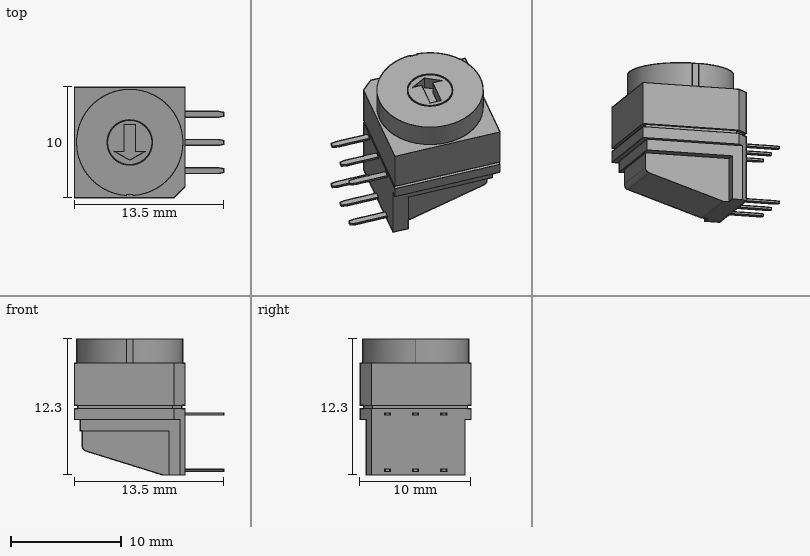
import cadquery as cq
import math

lower_block_bottom = 4.0
plate_bottom = 5.0
plate_top = 6.0
body_bottom = 6.3
body_top = 10.1
cap_top = 12.3

body_size = 10.0
half_body = body_size / 2
bevel = 1.0
neck_inset = 0.3
base_inset = 0.53
half_neck = half_body - neck_inset
half_base = half_body - base_inset

body_bevel_sum = body_size - bevel
neck_bevel_sum = body_bevel_sum - neck_inset * math.sqrt(2)

foot_start_x = 3.55
wedge_start_x = -4.3
wedge_half_width = 3.375
wedge_toe_x = 3.0
wedge_angle = math.radians(17.3)
wedge_corner_radius = 0.5

cap_radius = 4.8
notch_width = 0.6
notch_depth = 0.1
ring_inner_diameter = 4.0
ring_outer_diameter = 4.1
ring_depth = 0.1
arrow_depth = 1.2
arrow_half_length = 1.6
arrow_shoulder_y = -0.8
arrow_half_head = 1.4
arrow_half_shaft = 0.525

pitch = 2.54
pin_columns = (-pitch, 0, pitch)
lower_pin_z = 0.44
row_spacing = 2 * pitch
pin_rows = (lower_pin_z, lower_pin_z + row_spacing)
pin_end_x = 8.5
pin_width = 0.55
pin_thickness = 0.2
pin_tip_width = 0.36
pin_tip_length = 0.5
pin_embed = 0.5


def bevelled_block(x_min, x_max, half_width, bottom, top, bevel_sum=body_bevel_sum):
    """Rectangular block cut by the plane x - y = bevel_sum at the +X, -Y corner."""
    outline = [
        (x_min, -half_width),
        (bevel_sum - half_width, -half_width),
        (x_max, x_max - bevel_sum),
        (x_max, half_width),
        (x_min, half_width),
    ]
    return cq.Workplane("XY").workplane(offset=bottom).polyline(outline).close().extrude(top - bottom)


def wedge():
    """Block under the base with a sloped underside and a rounded lower edge."""
    slope_start_z = (wedge_toe_x - wedge_start_x) * math.tan(wedge_angle)
    profile = [
        (wedge_start_x, lower_block_bottom),
        (wedge_start_x, slope_start_z),
        (wedge_toe_x, 0),
        (foot_start_x, 0),
        (foot_start_x, lower_block_bottom),
    ]
    block = cq.Workplane("XZ").polyline(profile).close().extrude(wedge_half_width, both=True)
    corner = cq.selectors.NearestToPointSelector((wedge_start_x, 0, slope_start_z))
    return block.edges("|Y").edges(corner).fillet(wedge_corner_radius)


def cap():
    """Round cap with an index notch in its rim, a ring groove and an arrow slot."""
    disc = cq.Workplane("XY").workplane(offset=body_top).circle(cap_radius).extrude(cap_top - body_top)
    notch = (
        cq.Workplane("XY")
        .workplane(offset=body_top)
        .center(0, -cap_radius)
        .rect(notch_width, 2 * notch_depth)
        .extrude(cap_top - body_top)
    )
    top_plane = cq.Workplane("XY").workplane(offset=cap_top)
    ring = top_plane.circle(ring_outer_diameter / 2).circle(ring_inner_diameter / 2).extrude(-ring_depth)
    arrow_outline = [
        (0, -arrow_half_length),
        (arrow_half_head, arrow_shoulder_y),
        (arrow_half_shaft, arrow_shoulder_y),
        (arrow_half_shaft, arrow_half_length),
        (-arrow_half_shaft, arrow_half_length),
        (-arrow_half_shaft, arrow_shoulder_y),
        (-arrow_half_head, arrow_shoulder_y),
    ]
    arrow = top_plane.polyline(arrow_outline).close().extrude(-arrow_depth)
    return disc.cut(notch).cut(ring).cut(arrow)


def pin(y, z):
    """Flat terminal leaving the +X face, with a tapered tip."""
    half_width = pin_width / 2
    half_tip = pin_tip_width / 2
    taper_x = pin_end_x - pin_tip_length
    start_x = half_body - pin_embed
    outline = [
        (start_x, y - half_width),
        (taper_x, y - half_width),
        (pin_end_x, y - half_tip),
        (pin_end_x, y + half_tip),
        (taper_x, y + half_width),
        (start_x, y + half_width),
    ]
    bottom = z - pin_thickness / 2
    return cq.Workplane("XY").workplane(offset=bottom).polyline(outline).close().extrude(pin_thickness)


body = bevelled_block(-half_body, half_body, half_body, body_bottom, body_top)
neck = bevelled_block(-half_neck, half_neck, half_neck, plate_top, body_bottom, neck_bevel_sum)
plate = bevelled_block(-half_body, half_body, half_body, plate_bottom, plate_top)
lower_block = bevelled_block(-half_base, half_body, half_base, lower_block_bottom, plate_bottom)
foot = bevelled_block(foot_start_x, half_body, half_base, 0, lower_block_bottom)

result = body.union(neck).union(plate).union(lower_block).union(foot).union(wedge()).union(cap())
for row_z in pin_rows:
    for column_y in pin_columns:
        result = result.union(pin(column_y, row_z))